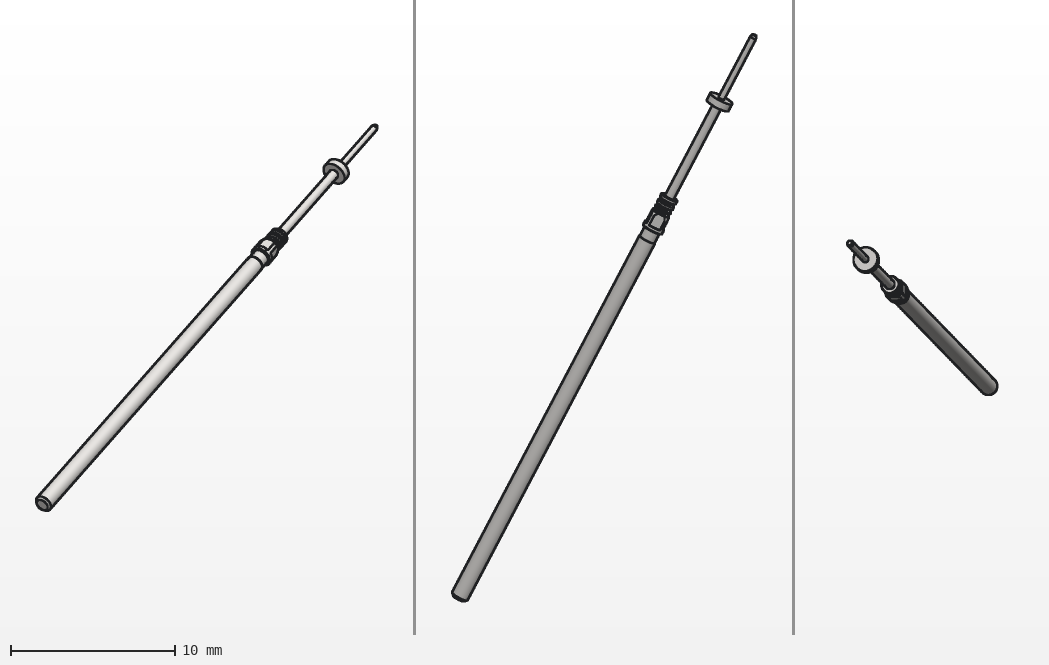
import cadquery as cq

total_length = 39.6
flange_start = 4.45
flange_thickness = 0.5
head_start = 11.4
collar_start = 13.4
collar_thickness = 0.25
sleeve_start = 14.35

pin_diameter = 0.4
flange_diameter = 1.5
shaft_diameter = 0.6
head_diameter = 1.08
collar_diameter = 1.3
neck_diameter = 1.02
sleeve_diameter = 1.08
pin_chamfer_length = 0.18
pin_chamfer_depth = 0.06
sleeve_chamfer = 0.15

front_ring_width = 0.2
groove_width = 0.22
groove_depth = 0.14
middle_ring_width = 0.18
rear_ring_width = 0.06

square_width = 1.08
square_cone_length = 0.25
square_front_diameter = 1.16

flange_end = flange_start + flange_thickness
collar_end = collar_start + collar_thickness
groove_1_start = head_start + front_ring_width
groove_2_start = groove_1_start + groove_width + middle_ring_width
groove_3_start = groove_2_start + groove_width + rear_ring_width
square_start = groove_3_start + groove_width


def cylinder(diameter, start, end):
    """Round length about the Y axis between two distances from the tip."""
    return cq.Workplane("XZ", origin=(0, -start, 0)).circle(diameter / 2).extrude(end - start)


def make_pin():
    pin = cylinder(pin_diameter, 0, flange_end)
    return pin.faces(">Y").chamfer(pin_chamfer_length, pin_chamfer_depth)


def make_groove_cutter(start):
    """Ring-shaped cutter with a V-shaped profile, turned about the Y axis."""
    end = start + groove_width
    surface_radius = head_diameter / 2
    floor_radius = surface_radius - groove_depth
    middle = (start + end) / 2
    return (
        cq.Workplane("XY")
        .moveTo(surface_radius, -start)
        .lineTo(floor_radius, -middle)
        .lineTo(surface_radius, -end)
        .lineTo(flange_diameter, -end)
        .lineTo(flange_diameter, -start)
        .close()
        .revolve(360, (0, 0, 0), (0, 1, 0))
    )


def make_head():
    head = cylinder(head_diameter, head_start, square_start)
    for start in (groove_1_start, groove_2_start, groove_3_start):
        head = head.cut(make_groove_cutter(start))
    return head


def make_square():
    """Square prism with its corners turned to the collar diameter and coned at the front."""
    length = collar_start - square_start
    start_plane = cq.Workplane("XZ", origin=(0, -square_start, 0))
    square = start_plane.rect(square_width, square_width).extrude(length)
    cone_height = (collar_diameter - square_front_diameter) / 2
    envelope = cylinder(collar_diameter, square_start, collar_start)
    envelope = envelope.cut(
        cq.Workplane("XY")
        .moveTo(square_front_diameter / 2, -square_start)
        .line(cone_height, 0)
        .line(0, -square_cone_length)
        .close()
        .revolve(360, (0, 0, 0), (0, 1, 0))
    )
    return square.intersect(envelope)


def make_sleeve():
    return cylinder(sleeve_diameter, sleeve_start, total_length).faces("<Y").chamfer(sleeve_chamfer)


result = (
    make_pin()
    .union(cylinder(flange_diameter, flange_start, flange_end))
    .union(cylinder(shaft_diameter, flange_end, head_start))
    .union(make_head())
    .union(make_square())
    .union(cylinder(collar_diameter, collar_start, collar_end))
    .union(cylinder(neck_diameter, collar_end, sleeve_start))
    .union(make_sleeve())
)